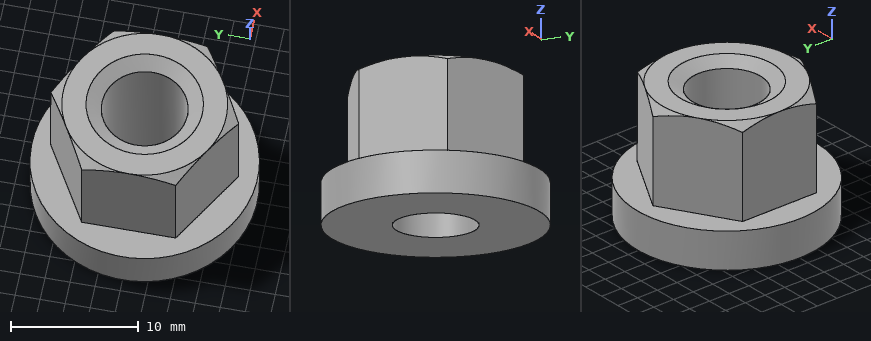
import cadquery as cq
import math

flange_diameter = 18.0
flange_thickness = 3.5

total_height = 12.0
across_flats = 13.0
across_corners = across_flats / math.cos(math.radians(30))

bore_diameter = 6.8
countersink_diameter = 9.2

cone_slope = math.tan(math.radians(30))


def make_flange():
    return cq.Workplane("XY").circle(flange_diameter / 2).extrude(flange_thickness)


def make_hex_body():
    """Hexagonal prism with flats facing +X and -X, rising from the bottom face."""
    return (
        cq.Workplane("XY")
        .polygon(6, across_corners)
        .extrude(total_height)
        .rotate((0, 0, 0), (0, 0, 1), 90)
    )


def make_corner_envelope():
    """Revolved solid whose top cone touches the flats and bevels the hexagon corners."""
    top_radius = across_flats / 2
    outer_radius = flange_diameter / 2
    cone_drop = (outer_radius - top_radius) * cone_slope
    return (
        cq.Workplane("XZ")
        .moveTo(0, 0)
        .lineTo(outer_radius, 0)
        .lineTo(outer_radius, total_height - cone_drop)
        .lineTo(top_radius, total_height)
        .lineTo(0, total_height)
        .close()
        .revolve(360, (0, 0, 0), (0, 1, 0))
    )


def make_bore():
    """Revolved cutter for the through bore and its conical countersink."""
    bore_radius = bore_diameter / 2
    mouth_radius = countersink_diameter / 2
    countersink_depth = (mouth_radius - bore_radius) * cone_slope
    return (
        cq.Workplane("XZ")
        .moveTo(0, 0)
        .lineTo(bore_radius, 0)
        .lineTo(bore_radius, total_height - countersink_depth)
        .lineTo(mouth_radius, total_height)
        .lineTo(0, total_height)
        .close()
        .revolve(360, (0, 0, 0), (0, 1, 0))
    )


hex_body = make_hex_body().intersect(make_corner_envelope())
result = make_flange().union(hex_body).cut(make_bore())